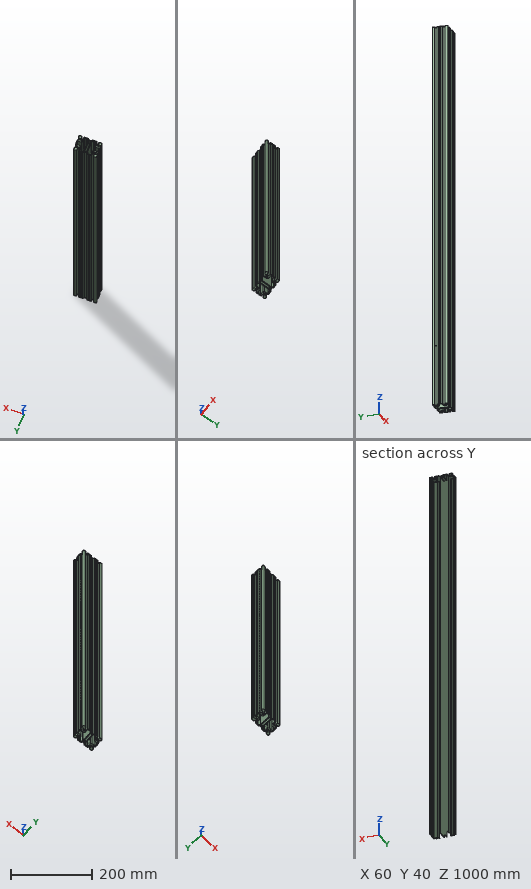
import cadquery as cq

LENGTH = 1000.0
WIDTH = 60.0
DEPTH = 40.0
WALL = 2.0
CORNER_RADIUS = 1.5

HALF_WIDTH = WIDTH / 2
HALF_DEPTH = DEPTH / 2

SLOT_MOUTH = 5.0
SLOT_DEPTH = 5.9
SLOT_FLOOR_RADIUS = 1.0
SLOPE_RUN = 3.0
SLOPE_DROP = 0.9
LIP_CHAMFER = 1.0
CORNER_BLOCK_WIDTH = 8.1
CORNER_BLOCK_HEIGHT = 6.9
WIDE_FACE_SLOT_X = HALF_WIDTH - CORNER_BLOCK_WIDTH - SLOT_MOUTH / 2
NARROW_FACE_SLOT_Y = HALF_DEPTH - CORNER_BLOCK_HEIGHT - SLOT_MOUTH / 2

GROOVE_FLOOR = 5.0
GROOVE_DEPTH = 3.0

MARK_WIDTH = 2.0
MARK_DEPTH = 0.5
GROOVE_EDGE_X = GROOVE_FLOOR / 2 + GROOVE_DEPTH
SLOT_EDGE_X = WIDE_FACE_SLOT_X - SLOT_MOUTH / 2 - LIP_CHAMFER
WIDE_FACE_MARK_X = (GROOVE_EDGE_X + SLOT_EDGE_X) / 2

WEB_WIDTH = 9.0
WEB_HOLLOW_WIDTH = WEB_WIDTH - 2 * WALL
WEB_HOLLOW_DEPTH = 2 * (HALF_DEPTH - GROOVE_DEPTH - WALL)
SLOT_WALL = 1.7
CHAMBER_OUTER_X = WIDE_FACE_SLOT_X - SLOT_MOUTH / 2 - SLOT_WALL
CHAMBER_CHAMFER = 4.0
CHAMBER_SHOULDER_Y = 7.5
TUNNEL_HALF_HEIGHT = 4.5

PORT_DIAMETER = 4.0


def prism(outline):
    """Closed XY outline extruded over the full length."""
    return cq.Workplane("XY").polyline(outline).close().extrude(LENGTH)


def bar(x_size, y_size, x=0, y=0):
    """Full-length rectangular bar centred on (x, y)."""
    return cq.Workplane("XY").center(x, y).rect(x_size, y_size).extrude(LENGTH)


def in_four_quadrants(tool):
    """Union of a tool with its mirror images across the XZ and YZ planes."""
    pair = tool.union(tool.mirror("YZ"))
    return pair.union(pair.mirror("XZ"))


def corner_slot():
    """Slot cut down from y = 0, with its sloping lip on the +X side."""
    half_mouth = SLOT_MOUTH / 2
    slot = bar(SLOT_MOUTH, 2 * SLOT_DEPTH).edges("|Z and <Y").fillet(SLOT_FLOOR_RADIUS)
    lips = prism([
        (-half_mouth - LIP_CHAMFER, 0),
        (-half_mouth, -LIP_CHAMFER),
        (half_mouth, -SLOPE_DROP),
        (half_mouth + SLOPE_RUN, 0),
    ])
    return slot.union(lips)


def wide_face_slot():
    """Slot in the +Y face, sloping toward the corner."""
    return corner_slot().translate((WIDE_FACE_SLOT_X, HALF_DEPTH, 0))


def narrow_face_slot():
    """Slot in the +X face, sloping away from the corner."""
    turned = corner_slot().rotate((0, 0, 0), (0, 0, 1), -90)
    return turned.translate((HALF_WIDTH, NARROW_FACE_SLOT_Y, 0))


def centre_groove():
    """Tapered groove in the middle of the +Y face."""
    half_floor = GROOVE_FLOOR / 2
    floor_y = HALF_DEPTH - GROOVE_DEPTH
    return prism([
        (-GROOVE_EDGE_X, HALF_DEPTH),
        (-half_floor, floor_y),
        (half_floor, floor_y),
        (GROOVE_EDGE_X, HALF_DEPTH),
    ])


def wide_face_mark():
    """Marking line in the right half of the +Y face."""
    return bar(MARK_WIDTH, 2 * MARK_DEPTH, WIDE_FACE_MARK_X, HALF_DEPTH)


def narrow_face_mark():
    """Marking line along the middle of the +X face."""
    return bar(2 * MARK_DEPTH, MARK_WIDTH, HALF_WIDTH, 0)


def chamber_quarter():
    """Upper half of the right chamber, with the tunnel that reaches toward the narrow face."""
    top = HALF_DEPTH - WALL
    web_side = WEB_WIDTH / 2
    tunnel_start = CHAMBER_OUTER_X + CHAMBER_SHOULDER_Y - TUNNEL_HALF_HEIGHT
    tunnel_end = HALF_WIDTH - WALL
    return prism([
        (web_side, 0),
        (web_side, top - CHAMBER_CHAMFER),
        (web_side + CHAMBER_CHAMFER, top),
        (CHAMBER_OUTER_X, top),
        (CHAMBER_OUTER_X, CHAMBER_SHOULDER_Y),
        (tunnel_start, TUNNEL_HALF_HEIGHT),
        (tunnel_end, TUNNEL_HALF_HEIGHT),
        (tunnel_end, 0),
    ])


def screw_port():
    """Round hole through the corner of the first quadrant."""
    plane = cq.Workplane("XY").center(WIDE_FACE_SLOT_X, NARROW_FACE_SLOT_Y)
    return plane.circle(PORT_DIAMETER / 2).extrude(LENGTH)


blank = bar(WIDTH, DEPTH).edges("|Z").fillet(CORNER_RADIUS)
result = blank.cut(bar(WEB_HOLLOW_WIDTH, WEB_HOLLOW_DEPTH))
for quarter_cut in [
    wide_face_slot(),
    narrow_face_slot(),
    centre_groove(),
    wide_face_mark(),
    narrow_face_mark(),
    chamber_quarter(),
    screw_port(),
]:
    result = result.cut(in_four_quadrants(quarter_cut))